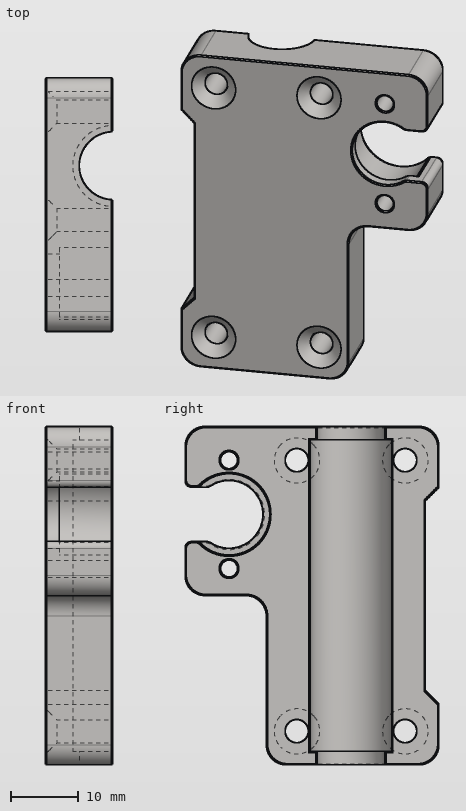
import cadquery as cq
import math

thickness = 9.9
width = 37.5
height = 50.0

leg_width = 25.5
arm_height = 25.0
corner_radius = 3.0
recess_depth = 2.0
recess_margin = 9.0
edge_chamfer = 0.2

bearing_radius = 6.0
lip_radius = 5.0
lip_length = 2.0

screw_inset = 5.0
screw_spacing = 16.0
screw_diameter = 3.4
countersink_diameter = 6.7
countersink_angle = 90.0

clamp_edge_distance = 6.5
clamp_mouth_width = 8.0
clamp_mouth_radius = 1.0
clamp_hole_diameter = 2.5
clamp_hole_spacing = 16.0

screw_ys = [width - screw_inset, width - screw_inset - screw_spacing]
screw_zs = [screw_inset, height - screw_inset]
groove_x = 10.0
groove_y = sum(screw_ys) / 2
clamp_y = clamp_edge_distance
clamp_z = height - screw_inset - clamp_hole_spacing / 2
mouth_zs = [clamp_z - clamp_mouth_width / 2, clamp_z + clamp_mouth_width / 2]
clamp_hole_zs = [clamp_z - clamp_hole_spacing / 2, clamp_z + clamp_hole_spacing / 2]


def cylinder_along_z(radius, start, end):
    """Cylinder on the groove axis between two heights."""
    return cq.Workplane("XY", origin=(groove_x, groove_y, start)).circle(radius).extrude(end - start)


def edge_along_x(x, y, z):
    """Selector for the edge along X whose middle is nearest the given point."""
    return cq.selectors.NearestToPointSelector((x, y, z))


def make_plate():
    """L-shaped plate with a shallow recess along its +Y edge."""
    leg_y = width - leg_width
    recess_y = width - recess_depth
    recess = [
        (width, recess_margin),
        (recess_y, recess_margin + recess_depth),
        (recess_y, height - recess_margin - recess_depth),
        (width, height - recess_margin),
    ]
    base_corners = [(leg_y, 0), (width, 0)]
    upper_corners = [(width, height), (0, height), (0, arm_height), (leg_y, arm_height)]
    outline = base_corners + recess + upper_corners
    plate = cq.Workplane("YZ").polyline(outline).close().extrude(thickness)
    for y, z in base_corners + upper_corners:
        plate = plate.edges(edge_along_x(thickness / 2, y, z)).fillet(corner_radius)
    return plate


def cut_clamp_mouth(plate):
    """Straight slot in from the -Y edge, with rounded outer corners."""
    mouth = cq.Workplane("XY").box(thickness, clamp_y, clamp_mouth_width, centered=(False, False, True))
    plate = plate.cut(mouth.translate((0, 0, clamp_z)))
    for z in mouth_zs:
        plate = plate.edges(edge_along_x(thickness / 2, 0, z)).fillet(clamp_mouth_radius)
    return plate


def cut_clamp_bore(plate, radius, start, end):
    """Bore from X = start to X = end, chamfered where it breaks into the mouth."""
    bore = cq.Workplane("YZ", origin=(start, clamp_y, clamp_z)).circle(radius).extrude(end - start)
    plate = plate.cut(bore)
    break_y = clamp_y - math.sqrt(radius**2 - (clamp_mouth_width / 2) ** 2)
    for z in mouth_zs:
        plate = plate.edges(edge_along_x((start + end) / 2, break_y, z)).chamfer(edge_chamfer)
    return plate


def cut_clamp_holes(plate):
    """Small through holes above and below the clamp bore."""
    for z in clamp_hole_zs:
        hole = cq.Workplane("YZ", origin=(0, clamp_y, z)).circle(clamp_hole_diameter / 2).extrude(thickness)
        plate = plate.cut(hole)
    return plate


def cut_groove(plate):
    """Half-round groove in the +X face, wider between its two end lips."""
    plate = plate.cut(cylinder_along_z(lip_radius, 0, height))
    return plate.cut(cylinder_along_z(bearing_radius, lip_length, height - lip_length))


def cut_screw_holes(plate):
    """Through holes countersunk from the -X face."""
    hole_points = [(-y, z) for y in screw_ys for z in screw_zs]
    outer_face = cq.Workplane(cq.Plane(origin=(0, 0, 0), xDir=(0, -1, 0), normal=(-1, 0, 0)))
    holes = outer_face.add(plate.val()).pushPoints(hole_points)
    return holes.cskHole(screw_diameter, countersink_diameter, countersink_angle)


plate = make_plate()
plate = cut_clamp_mouth(plate)
plate = cut_clamp_bore(plate, lip_radius, 0, lip_length)
plate = cut_clamp_bore(plate, bearing_radius, lip_length, thickness)
plate = cut_clamp_holes(plate)
plate = cut_groove(plate)
plate = plate.faces("<X or >X").edges().chamfer(edge_chamfer)
result = cut_screw_holes(plate)